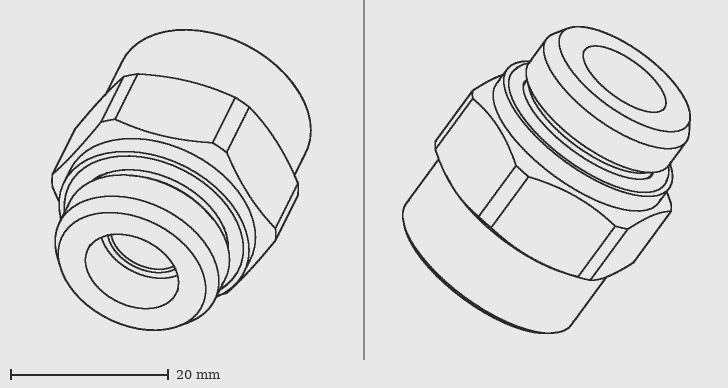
import cadquery as cq
import math


total_length = 32.2

stud_radius = 22.0 / 2
neck_radius = 19.8 / 2
stud_step = stud_radius - neck_radius
lead_in_length = stud_step / math.tan(math.radians(30))
stud_full_end = 6.0
neck_start = stud_full_end + stud_step

collar_radius = 25.5 / 2
collar_start = 8.5
ring_tube_radius = 1.0
ring_center_radius = 11.0

hex_start = 11.0
hex_across_flats = 27.0
hex_corner_radius = 30.0 / 2
hex_chamfer_slope = math.tan(math.radians(30))

body_radius = 26.0 / 2
body_length = 10.0
body_chamfer = 0.5
hex_end = total_length - body_length

counterbore_radius = 12.5 / 2
counterbore_depth = 5.85
bore_radius = 10.0 / 2
bore_mouth_radius = 10.6 / 2
bore_mouth_depth = bore_mouth_radius - bore_radius


def revolve_profile(points):
    """Revolve a closed (radius, station) outline about the Y axis."""
    return cq.Workplane("XY").polyline(points).close().revolve(360, (0, 0, 0), (0, 1, 0))


def make_stud_and_collar():
    return revolve_profile([
        (0, 0),
        (neck_radius, 0),
        (stud_radius, lead_in_length),
        (stud_radius, stud_full_end),
        (neck_radius, neck_start),
        (neck_radius, collar_start),
        (collar_radius, collar_start),
        (collar_radius, hex_start),
        (0, hex_start),
    ])


def make_sealing_ring():
    return (
        cq.Workplane("XY")
        .center(ring_center_radius, collar_start)
        .circle(ring_tube_radius)
        .revolve(360, (-ring_center_radius, 0, 0), (-ring_center_radius, 1, 0))
    )


def make_hexagon():
    """Hexagonal prism with corners on +/-X, trimmed by a cylinder with coned ends."""
    across_corners = hex_across_flats / math.cos(math.radians(30))
    prism = (
        cq.Workplane("XZ", origin=(0, hex_start, 0))
        .polygon(6, across_corners)
        .extrude(hex_start - hex_end)
    )
    front_cone_length = (hex_corner_radius - collar_radius) * hex_chamfer_slope
    rear_cone_length = (hex_corner_radius - body_radius) * hex_chamfer_slope
    envelope = revolve_profile([
        (0, hex_start),
        (collar_radius, hex_start),
        (hex_corner_radius, hex_start + front_cone_length),
        (hex_corner_radius, hex_end - rear_cone_length),
        (body_radius, hex_end),
        (0, hex_end),
    ])
    return prism.intersect(envelope)


def make_rear_body():
    return revolve_profile([
        (0, hex_end),
        (body_radius, hex_end),
        (body_radius, total_length - body_chamfer),
        (body_radius - body_chamfer, total_length),
        (0, total_length),
    ])


def make_bore():
    """Counterbore from the stud end, countersunk into a plain through bore."""
    return revolve_profile([
        (0, 0),
        (counterbore_radius, 0),
        (counterbore_radius, counterbore_depth),
        (bore_mouth_radius, counterbore_depth),
        (bore_radius, counterbore_depth + bore_mouth_depth),
        (bore_radius, total_length),
        (0, total_length),
    ])


outer = make_stud_and_collar().union(make_hexagon()).union(make_rear_body())
result = outer.union(make_sealing_ring()).cut(make_bore())